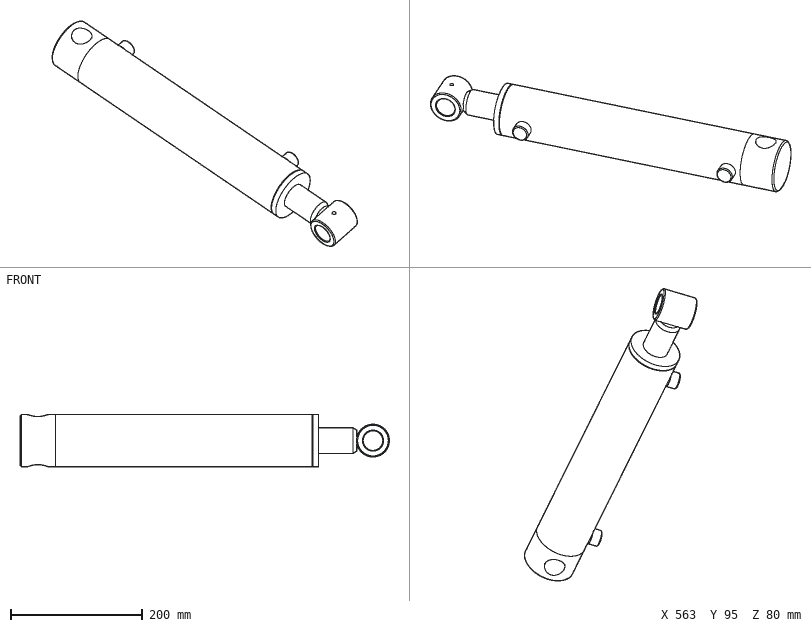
import cadquery as cq

total_length = 563.0

body_diameter = 80.0
cap_length = 54.0
cap_chamfer = 2.0
ring_start = 445.5
ring_length = 1.0
gland_end = 455.0
pin_diameter = 31.0

rod_diameter = 40.0
rod_taper_length = 6.0
rod_taper_depth = 4.0
rod_seat_depth = 0.5
eye_diameter = 50.0
eye_width = 54.0
eye_chamfer = 1.5
bore_diameter = 30.0
bore_chamfer = 1.0
grease_hole_diameter = 5.5

port_diameter = 25.5
port_tip_y = 55.0
port_chamfer = 1.5
port_positions = (74.5, 406.5)

body_radius = body_diameter / 2
ring_end = ring_start + ring_length
cap_pin_x = cap_length / 2
eye_x = total_length - eye_diameter / 2
rod_tip_x = eye_x - eye_diameter / 2 + rod_seat_depth


def bar_along_x(diameter, start, end):
    """Solid round bar on the X axis between two X places."""
    return cq.Workplane("YZ", origin=(start, 0, 0)).circle(diameter / 2).extrude(end - start)


def bar_along_y(diameter, x, start, end):
    """Solid round bar parallel to Y between two Y places."""
    return cq.Workplane("XZ", origin=(x, start, 0)).circle(diameter / 2).extrude(start - end)


def bar_along_z(diameter, x, start, end):
    """Solid round bar parallel to Z between two Z places."""
    return cq.Workplane("XY", origin=(x, 0, start)).circle(diameter / 2).extrude(end - start)


def make_end_cap():
    """Solid cap with a chamfered outer rim and a cross hole for the mounting pin."""
    cap = bar_along_x(body_diameter, 0, cap_length).faces("<X").chamfer(cap_chamfer)
    return cap.cut(bar_along_z(pin_diameter, cap_pin_x, -body_radius, body_radius))


def make_eye():
    """Cross tube along Y with chamfered rims and bore edges."""
    half_width = eye_width / 2
    eye = bar_along_y(eye_diameter, eye_x, -half_width, half_width)
    eye = eye.faces("<Y or >Y").chamfer(eye_chamfer)
    eye = eye.cut(bar_along_y(bore_diameter, eye_x, -half_width, half_width))
    eye = eye.faces("<Y or >Y").edges(cq.selectors.RadiusNthSelector(0)).chamfer(bore_chamfer)
    return eye.cut(bar_along_z(grease_hole_diameter, eye_x, 0, eye_diameter / 2))


def make_rod():
    """Rod with a tapered tip, hollowed slightly where the eye sits in it."""
    rod = bar_along_x(rod_diameter, gland_end, rod_tip_x)
    rod = rod.faces(">X").chamfer(rod_taper_length, rod_taper_depth)
    return rod.cut(bar_along_y(eye_diameter, eye_x, -eye_width / 2, eye_width / 2))


def make_port(x):
    """Round port boss with a chamfered tip."""
    return bar_along_y(port_diameter, x, body_radius, port_tip_y).faces(">Y").chamfer(port_chamfer)


end_cap = make_end_cap()
tube = bar_along_x(body_diameter, cap_length, ring_start)
ring = bar_along_x(body_diameter, ring_start, ring_end)
gland = bar_along_x(body_diameter, ring_end, gland_end)
rod = make_rod()
eye = make_eye()
ports = [make_port(x) for x in port_positions]

result = cq.Compound.makeCompound(
    [body.val() for body in (end_cap, tube, ring, gland, rod, eye, *ports)]
)